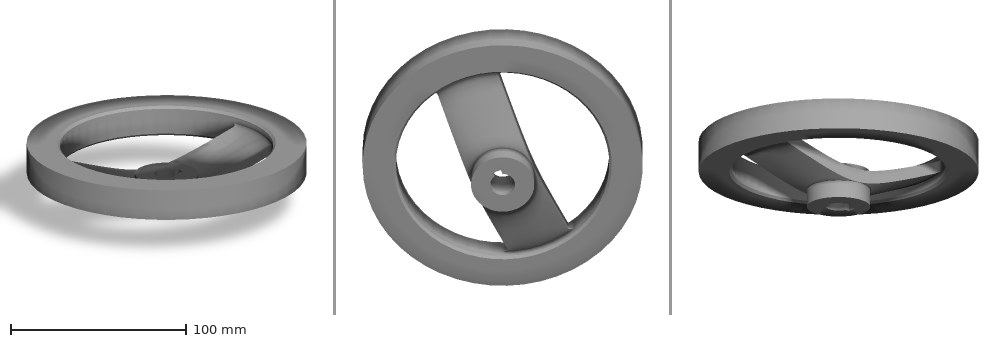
import cadquery as cq
import math

rim_radius = 80.0
rim_height = 18.0
rim_bore_radius = 61.0
rim_chamfer = 1.5

hub_radius = 18.0
hub_fillet = 1.0
hub_top = -18.5
hub_bottom = -39.0
bore_radius = 7.0
keyway_width = 5.0
keyway_reach = 9.3

spoke_half_width = 18.5
web_bottom_slope = 0.4
web_top_slope = 0.38
web_bottom = -29.0
web_top = -21.1
web_embed = 0.6
window_corner_radius = 2.5


def make_rim():
    ring = cq.Workplane("XY").circle(rim_radius).circle(rim_bore_radius).extrude(-rim_height)
    bore_edges = ring.edges("%CIRCLE").edges(cq.selectors.RadiusNthSelector(0))
    return bore_edges.chamfer(rim_chamfer)


def make_windows():
    """Two circular segments, one on each side of the spokes, with rounded corners."""
    depth = -hub_bottom
    disc = cq.Workplane("XY").circle(rim_bore_radius).extrude(-depth)
    strip = cq.Workplane("XY").rect(2 * spoke_half_width, 2 * rim_radius).extrude(-depth)
    segments = disc.cut(strip)
    corner_edges = segments.edges("|Z").edges(">Y or <Y")
    return corner_edges.fillet(window_corner_radius)


def make_web():
    """Dished web, revolved from its half section and opened by the windows."""
    outer_radius = rim_bore_radius + web_embed
    fillet_outer_radius = hub_radius + hub_fillet
    fillet_centre_z = web_top + hub_fillet
    fillet_middle = (
        fillet_outer_radius - hub_fillet * math.sqrt(0.5),
        fillet_centre_z - hub_fillet * math.sqrt(0.5),
    )
    top_rise = web_top_slope * (outer_radius - fillet_outer_radius)
    bottom_rise = web_bottom_slope * (outer_radius - spoke_half_width)
    dish = (
        cq.Workplane("XZ")
        .moveTo(0, web_bottom)
        .lineTo(spoke_half_width, web_bottom)
        .lineTo(outer_radius, web_bottom + bottom_rise)
        .lineTo(outer_radius, web_top + top_rise)
        .lineTo(fillet_outer_radius, web_top)
        .threePointArc(fillet_middle, (hub_radius, fillet_centre_z))
        .lineTo(0, fillet_centre_z)
        .close()
        .revolve(360, (0, 0, 0), (0, 1, 0))
    )
    return dish.cut(make_windows())


def make_hub():
    return cq.Workplane("XY").workplane(offset=hub_bottom).circle(hub_radius).extrude(hub_top - hub_bottom)


def make_keyed_bore():
    depth = -hub_bottom
    bore = cq.Workplane("XY").circle(bore_radius).extrude(-depth)
    keyway = (
        cq.Workplane("XY")
        .center(0, keyway_reach / 2)
        .rect(keyway_width, keyway_reach)
        .extrude(-depth)
    )
    return bore.union(keyway)


result = make_rim().union(make_web()).union(make_hub()).cut(make_keyed_bore())